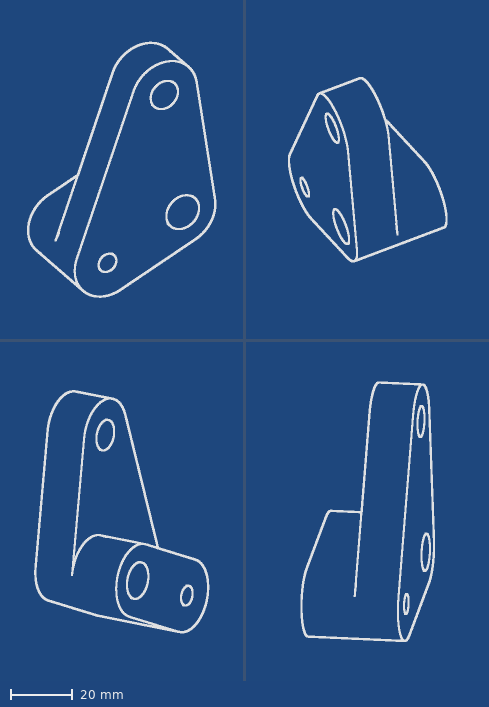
import cadquery as cq

total_width = 32.0
plate_thickness = 14.5
arm_thickness = total_width - plate_thickness

corner_radius = 12.0

large_hole = cq.Vector(0, 0)
small_hole = cq.Vector(-27.55, -11.7)
top_hole = cq.Vector(-6.7, 44.35)

large_diameter = 12.0
small_diameter = 6.5
top_diameter = 10.0


def outward_offset(start, end):
    """Corner-radius vector pointing out of a counterclockwise side."""
    side = end - start
    return cq.Vector(side.y, -side.x).normalized() * corner_radius


def rounded_link(axes, thickness, start_x):
    """Plate with straight sides tangent to an arc around each axis, listed counterclockwise."""
    first = axes[0] + outward_offset(axes[-1], axes[0])
    outline = cq.Workplane("YZ", origin=(start_x, 0, 0)).moveTo(first.x, first.y)
    for index, axis in enumerate(axes):
        following = axes[(index + 1) % len(axes)]
        incoming = axis - axes[index - 1]
        offset_out = outward_offset(axis, following)
        outgoing = following - axis
        bisector = (incoming.normalized() - outgoing.normalized()).normalized() * corner_radius
        arc_middle = axis + bisector
        arc_end = axis + offset_out
        next_start = following + offset_out
        outline = outline.threePointArc((arc_middle.x, arc_middle.y), (arc_end.x, arc_end.y))
        if index < len(axes) - 1:
            outline = outline.lineTo(next_start.x, next_start.y)
    return outline.close().extrude(thickness)


def through_hole(axis, diameter):
    """Cylinder crossing the whole width of the part."""
    return cq.Workplane("YZ").center(axis.x, axis.y).circle(diameter / 2).extrude(total_width)


plate = rounded_link([large_hole, top_hole, small_hole], plate_thickness, arm_thickness)
arm = rounded_link([large_hole, small_hole], arm_thickness, 0)

result = plate.union(arm)
for axis, diameter in (
    (large_hole, large_diameter),
    (small_hole, small_diameter),
    (top_hole, top_diameter),
):
    result = result.cut(through_hole(axis, diameter))